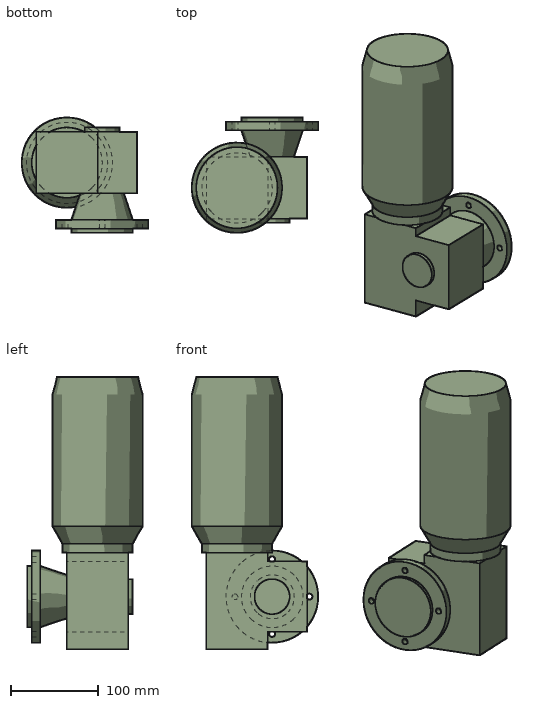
import cadquery as cq

total_height = 310
motor_diameter = 103.0
motor_top_diameter = 92.5
motor_top_taper_height = 20.0
motor_bottom_taper_height = 20.0
collar_diameter = 80.0
collar_height = 10.0
motor_body_bottom = 140.0

housing_width = 70.0
housing_side_reach = 80.0
housing_side_height = 80.0

output_x = 40.0
output_z = 60.0
boss_diameter = 40.0
boss_length = 5.0

neck_diameter = 50.0
neck_flange_diameter = 70.0
flange_diameter = 105.0
flange_front = 65
flange_thickness = 10.0
spigot_diameter = 70.0
spigot_length = 5.0

bolt_circle_diameter = 85.0
bolt_hole_diameter = 6.5
bolt_count = 4

collar_top = motor_body_bottom - motor_bottom_taper_height
housing_height = collar_top - collar_height
motor_body_top = total_height - motor_top_taper_height
housing_face = housing_width / 2
flange_back = flange_front + flange_thickness
spigot_back = flange_back + spigot_length


def make_motor():
    """Collar and tapered motor, revolved about the Z axis."""
    profile = [
        (0, housing_height),
        (collar_diameter / 2, housing_height),
        (collar_diameter / 2, collar_top),
        (motor_diameter / 2, motor_body_bottom),
        (motor_diameter / 2, motor_body_top),
        (motor_top_diameter / 2, total_height),
        (0, total_height),
    ]
    return cq.Workplane("XZ").polyline(profile).close().revolve(360, (0, 0), (0, 1))


def make_housing():
    """Square column with a side block around the output axis."""
    column = cq.Workplane("XY").rect(housing_width, housing_width).extrude(housing_height)
    side_block = cq.Workplane("XY").box(
        housing_side_reach, housing_width, housing_side_height, centered=(False, True, True)
    )
    return column.union(side_block.translate((0, 0, output_z)))


def make_output():
    """Front boss, conical neck, flange and spigot, revolved about the output axis."""
    boss_front = -housing_face - boss_length
    profile = [
        (0, boss_front),
        (boss_diameter / 2, boss_front),
        (boss_diameter / 2, housing_face),
        (neck_diameter / 2, housing_face),
        (neck_flange_diameter / 2, flange_front),
        (flange_diameter / 2, flange_front),
        (flange_diameter / 2, flange_back),
        (spigot_diameter / 2, flange_back),
        (spigot_diameter / 2, spigot_back),
        (0, spigot_back),
    ]
    turned = cq.Workplane("XY").polyline(profile).close().revolve(360, (0, 0), (0, 1))
    return turned.translate((output_x, 0, output_z))


def make_bolt_holes():
    """Cutters for the holes through the flange."""
    return (
        cq.Workplane("XZ", origin=(output_x, flange_front, output_z))
        .polarArray(bolt_circle_diameter / 2, 0, 360, bolt_count)
        .circle(bolt_hole_diameter / 2)
        .extrude(-flange_thickness)
    )


output = make_output().cut(make_bolt_holes())
result = make_housing().union(make_motor()).union(output)